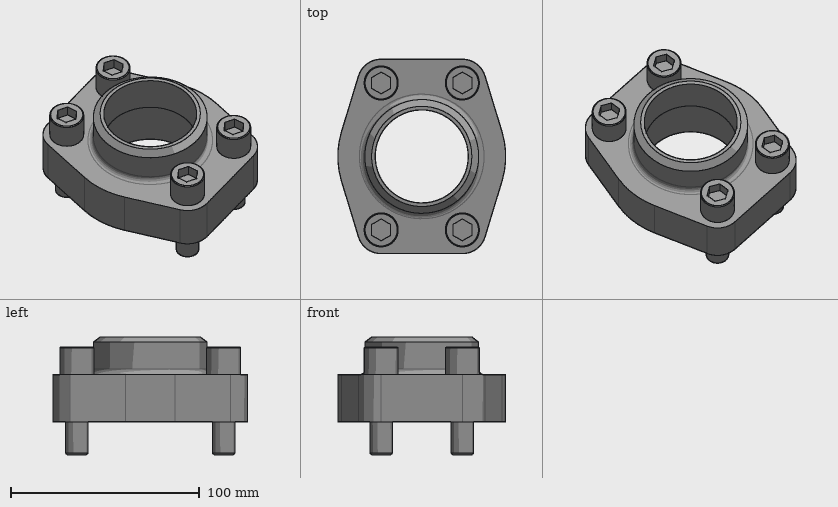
import cadquery as cq
import math

flange_length = 103.0
flange_width = 89.0
flange_thickness = 25.0

bolt_spacing_x = 43.0
bolt_spacing_y = 77.8
shank_diameter = 12.0
shank_projection = 17.5
shank_chamfer = 1.0
head_diameter = 18.0
head_height = 14.6
head_chamfer = 0.5
socket_across_flats = 10.0
socket_depth = 6.0

collar_diameter = 60.3
collar_height = 20.0
collar_fillet = 2.9
bevel_height = 2.8
bevel_width = 3.6
collar_bore_diameter = 49.1
flange_bore_diameter = 51.0

bolt_x = bolt_spacing_x / 2
bolt_y = bolt_spacing_y / 2
side_radius = flange_width / 2
corner_radius = flange_length / 2 - bolt_y
bolt_locations = [(sx * bolt_x, sy * bolt_y) for sx in (-1, 1) for sy in (-1, 1)]


def make_flange():
    """Plate whose straight flanks are tangent to the side arcs and the corner arcs."""
    bolt_angle = math.atan2(bolt_y, bolt_x)
    flank_offset = side_radius - corner_radius
    flank_angle = bolt_angle - math.acos(flank_offset / math.hypot(bolt_x, bolt_y))
    corner_mid_angle = (flank_angle + math.pi / 2) / 2

    side_x = side_radius * math.cos(flank_angle)
    side_y = side_radius * math.sin(flank_angle)
    corner_x = bolt_x + corner_radius * math.cos(flank_angle)
    corner_y = bolt_y + corner_radius * math.sin(flank_angle)
    mid_x = bolt_x + corner_radius * math.cos(corner_mid_angle)
    mid_y = bolt_y + corner_radius * math.sin(corner_mid_angle)
    end_y = flange_length / 2

    return (
        cq.Workplane("XY")
        .moveTo(side_x, -side_y)
        .threePointArc((side_radius, 0), (side_x, side_y))
        .lineTo(corner_x, corner_y)
        .threePointArc((mid_x, mid_y), (bolt_x, end_y))
        .lineTo(-bolt_x, end_y)
        .threePointArc((-mid_x, mid_y), (-corner_x, corner_y))
        .lineTo(-side_x, side_y)
        .threePointArc((-side_radius, 0), (-side_x, -side_y))
        .lineTo(-corner_x, -corner_y)
        .threePointArc((-mid_x, -mid_y), (-bolt_x, -end_y))
        .lineTo(bolt_x, -end_y)
        .threePointArc((mid_x, -mid_y), (corner_x, -corner_y))
        .close()
        .extrude(flange_thickness)
    )


def make_collar():
    """Collar with a concave fillet at its foot and a weld bevel at its top."""
    radius = collar_diameter / 2
    foot_radius = radius + collar_fillet
    top_z = flange_thickness + collar_height
    fillet_z = flange_thickness + collar_fillet
    fillet_mid = collar_fillet * (1 - math.sqrt(0.5))
    return (
        cq.Workplane("XZ")
        .lineTo(foot_radius, 0)
        .lineTo(foot_radius, flange_thickness)
        .threePointArc((radius + fillet_mid, flange_thickness + fillet_mid), (radius, fillet_z))
        .lineTo(radius, top_z - bevel_height)
        .lineTo(radius - bevel_width, top_z)
        .lineTo(0, top_z)
        .close()
        .revolve(360, (0, 0), (0, 1))
    )


def make_bore():
    """Bore that is slightly wider through the plate than through the collar."""
    total_height = flange_thickness + collar_height
    collar_bore = cq.Workplane("XY").circle(collar_bore_diameter / 2).extrude(total_height)
    flange_bore = cq.Workplane("XY").circle(flange_bore_diameter / 2).extrude(flange_thickness)
    return collar_bore.union(flange_bore)


def make_bolts():
    """Socket head screws seated on the plate and projecting below it."""
    shanks = (
        cq.Workplane("XY", origin=(0, 0, -shank_projection))
        .pushPoints(bolt_locations)
        .circle(shank_diameter / 2)
        .extrude(shank_projection + flange_thickness)
        .faces("<Z")
        .chamfer(shank_chamfer)
    )
    heads = (
        cq.Workplane("XY", origin=(0, 0, flange_thickness))
        .pushPoints(bolt_locations)
        .circle(head_diameter / 2)
        .extrude(head_height)
        .faces(">Z")
        .chamfer(head_chamfer)
    )
    return shanks.union(heads)


def make_sockets():
    """Hexagonal sockets with their corners pointing along Y."""
    across_corners = socket_across_flats / math.cos(math.pi / 6)
    socket_floor = flange_thickness + head_height - socket_depth
    socket = (
        cq.Workplane("XY", origin=(0, 0, socket_floor))
        .polygon(6, across_corners)
        .extrude(socket_depth)
        .rotate((0, 0, 0), (0, 0, 1), 90)
    )
    sockets = cq.Workplane("XY")
    for x, y in bolt_locations:
        sockets = sockets.add(socket.translate((x, y, 0)))
    return sockets.combine()


body = make_flange().union(make_collar()).cut(make_bore())
result = body.union(make_bolts()).cut(make_sockets())